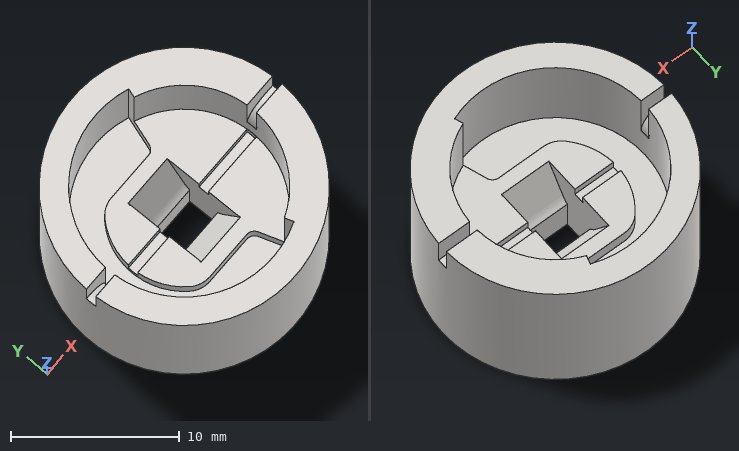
import cadquery as cq
import math

outer_radius = 8.6
height = 10.2

narrow_bore_radius = 6.25
wide_bore_radius = 6.85
narrow_bore_depth = 5.0
pad_height = 0.96

pad_end_radius = 4.73
pad_half_width = 3.8
pad_end_fillet = 1.72
shoulder_x = 1.65
shoulder_tilt = 18.2
shoulder_fillet = 0.6

slot_width = 0.72
slot_depth = 1.98
slot_round = 1.55
groove_depth = 0.58

pocket_length = 3.6
pocket_half_width = 2.82
pocket_slope = 60.0
pocket_bottom_radius = 1.72
opening_width = 2.17

floor_z = height - narrow_bore_depth
recess_z = floor_z - pad_height


def make_pad_prism():
    """Prism of the pad outline, opening out past the body towards +X."""
    end_x = -math.sqrt(pad_end_radius**2 - pad_half_width**2)
    far_y = outer_radius
    far_x = shoulder_x + (far_y - pad_half_width) * math.tan(math.radians(shoulder_tilt))
    prism = (
        cq.Workplane("XY", origin=(0, 0, recess_z))
        .moveTo(end_x, -pad_half_width)
        .threePointArc((-pad_end_radius, 0), (end_x, pad_half_width))
        .lineTo(shoulder_x, pad_half_width)
        .lineTo(far_x, far_y)
        .lineTo(outer_radius, far_y)
        .lineTo(outer_radius, -far_y)
        .lineTo(far_x, -far_y)
        .lineTo(shoulder_x, -pad_half_width)
        .close()
        .extrude(height - recess_z)
    )
    for corner_x, radius in ((end_x, pad_end_fillet), (shoulder_x, shoulder_fillet)):
        for side in (-1, 1):
            corner = (corner_x, side * pad_half_width, (recess_z + height) / 2)
            prism = prism.edges("|Z").edges(cq.selectors.NearestToPointSelector(corner)).fillet(radius)
    return prism


def make_bore():
    """Narrow round bore joined to the deeper wide bore around the pad."""
    narrow = cq.Workplane("XY", origin=(0, 0, floor_z)).circle(narrow_bore_radius).extrude(narrow_bore_depth)
    wide = cq.Workplane("XY", origin=(0, 0, recess_z)).circle(wide_bore_radius).extrude(height - recess_z)
    return narrow.union(wide.cut(make_pad_prism()))


def make_rim_slot(side, bore_radius):
    """Slot through the rim on one X side, its floor rounding down into the bore."""
    slot_z = height - slot_depth
    round_end = bore_radius + slot_round
    arc_offset = slot_round * math.sqrt(0.5)
    return (
        cq.Workplane("XZ")
        .moveTo(0, height)
        .lineTo(side * outer_radius, height)
        .lineTo(side * outer_radius, slot_z)
        .lineTo(side * round_end, slot_z)
        .threePointArc(
            (side * (round_end - arc_offset), slot_z - slot_round + arc_offset),
            (side * bore_radius, slot_z - slot_round),
        )
        .lineTo(0, slot_z - slot_round)
        .close()
        .extrude(slot_width / 2, both=True)
    )


def make_groove():
    """Groove across the pad, from its rounded end to the narrow bore wall."""
    length = pad_end_radius + narrow_bore_radius
    block = cq.Workplane("XY").box(length, slot_width, groove_depth, centered=(False, True, False))
    return block.translate((-pad_end_radius, 0, floor_z - groove_depth))


def make_pocket():
    """Pocket with sloped sides tangent to a round bottom, plus the opening below."""
    slope = math.radians(pocket_slope)
    tangent_y = pocket_bottom_radius * math.sin(slope)
    tangent_z = floor_z - (pocket_half_width - tangent_y) * math.tan(slope)
    bottom_z = tangent_z - pocket_bottom_radius * (1 - math.cos(slope))
    tapered = (
        cq.Workplane("YZ")
        .moveTo(-pocket_half_width, floor_z)
        .lineTo(-tangent_y, tangent_z)
        .threePointArc((0, bottom_z), (tangent_y, tangent_z))
        .lineTo(pocket_half_width, floor_z)
        .close()
        .extrude(pocket_length / 2, both=True)
    )
    opening = cq.Workplane("XY").rect(pocket_length, opening_width).extrude(floor_z)
    return tapered.union(opening)


body = cq.Workplane("XY").circle(outer_radius).extrude(height)
result = (
    body.cut(make_bore())
    .cut(make_rim_slot(1, narrow_bore_radius))
    .cut(make_rim_slot(-1, wide_bore_radius))
    .cut(make_groove())
    .cut(make_pocket())
)